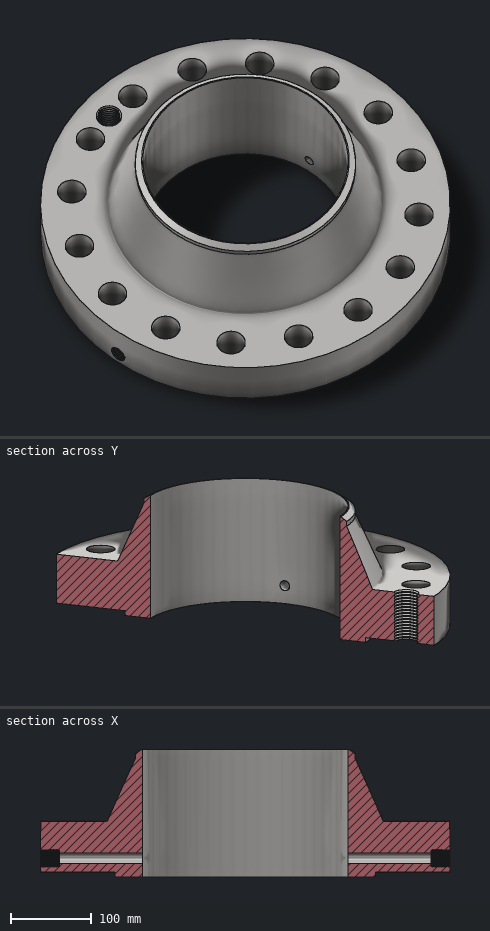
import cadquery as cq
import math

flange_diameter = 508.0
flange_thickness = 63.5
raised_face_diameter = 324.0
raised_face_height = 6.0
bore_diameter = 254.5

total_height = 158.5
hub_base_diameter = 343.0
hub_fillet_radius = 2.5
weld_end_diameter = 273.5
weld_end_height = 11.0
bevel_height = 5.0
weld_land_width = 1.5

bolt_count = 16
bolt_circle_diameter = 432.0
bolt_hole_diameter = 35.0

jack_major_diameter = 31.5
jack_minor_diameter = 28.0
jack_pitch = 3.85

tap_height = 23.5
tap_major_diameter = 21.5
tap_minor_diameter = 18.5
tap_pitch = 1.85
tap_thread_depth = 23.0
tap_bore_diameter = 12.5

flange_top = raised_face_height + flange_thickness
flange_radius = flange_diameter / 2
bolt_circle_radius = bolt_circle_diameter / 2
bore_radius = bore_diameter / 2


def flange_body():
    """Revolve the half section of the weld-neck flange about Z."""
    raised_face_radius = raised_face_diameter / 2
    weld_end_radius = weld_end_diameter / 2
    body = (
        cq.Workplane("XZ")
        .moveTo(bore_radius, 0)
        .lineTo(raised_face_radius, 0)
        .lineTo(raised_face_radius, raised_face_height)
        .lineTo(flange_radius, raised_face_height)
        .lineTo(flange_radius, flange_top)
        .lineTo(hub_base_diameter / 2, flange_top)
        .lineTo(weld_end_radius, total_height - weld_end_height)
        .lineTo(weld_end_radius, total_height - bevel_height)
        .lineTo(bore_radius + weld_land_width, total_height)
        .lineTo(bore_radius, total_height)
        .close()
        .revolve(360, (0, 0, 0), (0, 1, 0))
    )
    margin = raised_face_height / 2
    at_flange_top = cq.selectors.BoxSelector(
        (-flange_radius, -flange_radius, flange_top - margin),
        (flange_radius, flange_radius, flange_top + margin),
    )
    smallest_circle = cq.selectors.RadiusNthSelector(0)
    return body.edges(at_flange_top).edges(smallest_circle).fillet(hub_fillet_radius)


def thread_cutter(major_diameter, minor_diameter, pitch, length):
    """Solid along +Z with V-shaped thread rings, full width at the origin, at least `length` long."""
    major_radius = major_diameter / 2
    ring_count = math.ceil(length / pitch)
    profile = cq.Workplane("XZ").lineTo(major_radius, 0)
    for ring in range(ring_count):
        profile = profile.lineTo(minor_diameter / 2, (ring + 0.5) * pitch)
        profile = profile.lineTo(major_radius, (ring + 1) * pitch)
    return profile.lineTo(0, ring_count * pitch).close().revolve(360, (0, 0, 0), (0, 1, 0))


def bolt_holes():
    """Through holes spread evenly, straddling the X and Y axes."""
    half_step = 180 / bolt_count
    return (
        cq.Workplane("XY")
        .polarArray(bolt_circle_radius, half_step, 360, bolt_count)
        .circle(bolt_hole_diameter / 2)
        .extrude(total_height)
    )


def jack_screw_hole():
    """Thread running down from the flange top and out through the underside."""
    thread = thread_cutter(jack_major_diameter, jack_minor_diameter, jack_pitch, flange_thickness)
    return thread.rotate((0, 0, 0), (1, 0, 0), 180).translate((-bolt_circle_radius, 0, flange_top))


def pressure_tap():
    """Threaded mouth on the -Y rim, followed by a plain bore to the flange axis."""
    thread = thread_cutter(tap_major_diameter, tap_minor_diameter, tap_pitch, tap_thread_depth)
    bore = cq.Workplane("XY").circle(tap_bore_diameter / 2).extrude(flange_radius)
    return (
        thread.union(bore)
        .rotate((0, 0, 0), (1, 0, 0), -90)
        .translate((0, -flange_radius, tap_height))
    )


result = flange_body().cut(bolt_holes()).cut(jack_screw_hole())
for tap_angle in (0, 180):
    result = result.cut(pressure_tap().rotate((0, 0, 0), (0, 0, 1), tap_angle))